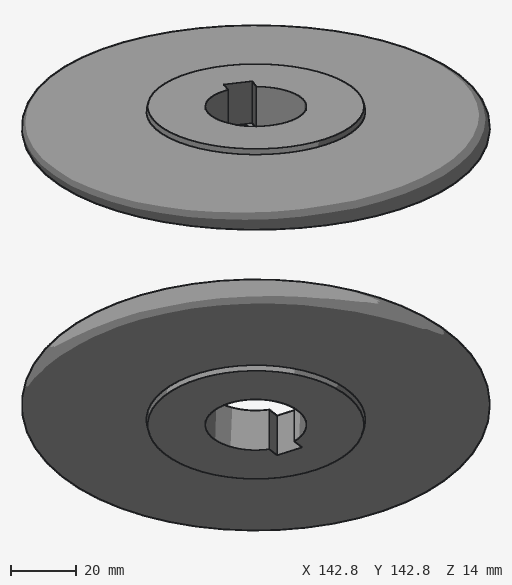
import cadquery as cq

outer_radius = 71.4
disc_thickness = 10.5
rim_radius = disc_thickness / 2
flat_radius = outer_radius - rim_radius

hub_thickness = 14.0
hub_base_radius = 33.4
hub_top_radius = 33.0

bore_radius = 15.4
keyway_width = 9.0
keyway_depth_from_axis = 19.1
keyway_angle = 171.0


def revolved_body():
    """Revolve the half section of the disc and hub about Z."""
    disc_face = disc_thickness / 2
    hub_face = hub_thickness / 2
    return (
        cq.Workplane("XZ")
        .moveTo(0, -hub_face)
        .lineTo(hub_top_radius, -hub_face)
        .lineTo(hub_base_radius, -disc_face)
        .lineTo(flat_radius, -disc_face)
        .threePointArc((outer_radius, 0), (flat_radius, disc_face))
        .lineTo(hub_base_radius, disc_face)
        .lineTo(hub_top_radius, hub_face)
        .lineTo(0, hub_face)
        .close()
        .revolve(360, (0, 0, 0), (0, 1, 0))
    )


def keyed_bore():
    """Through bore joined with its radial keyway."""
    bore = cq.Workplane("XY").circle(bore_radius).extrude(hub_thickness / 2, both=True)
    keyway = (
        cq.Workplane("XY")
        .box(keyway_depth_from_axis, keyway_width, hub_thickness)
        .translate((keyway_depth_from_axis / 2, 0, 0))
        .rotate((0, 0, 0), (0, 0, 1), keyway_angle)
    )
    return bore.union(keyway)


result = revolved_body().cut(keyed_bore())